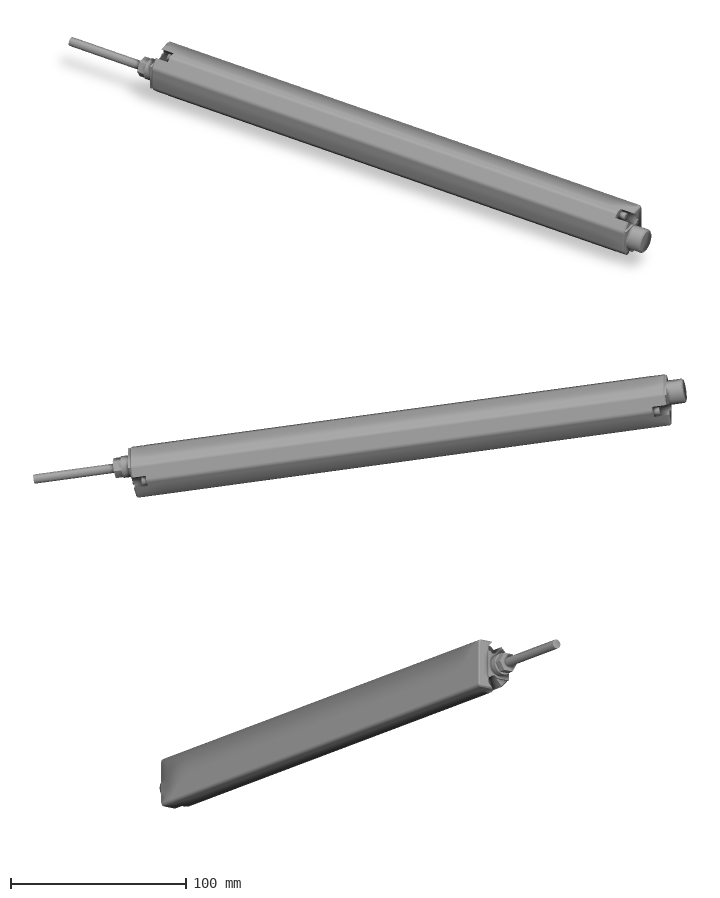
import cadquery as cq
import math

cable_length = 47.0
ring_start = 51.5
housing_start = 57.0
housing_end = 368.3
cap_length = 12.5
total_length = 378.5
pad_thickness = 1.0

height = 28.0
depth = 21.0
axis_to_front = 7.5
bevel = 7.0
bevel_blend = 3.0
rear_round = 2.0

pad_height = 15.5
pad_depth = 14.5
end_chamfer = 0.8
slot_length = 8.5
slot_radius = 3.0
slot_to_front = 11.5
slot_drop = 4.5
screw_head_radius = 2.3
screw_head_length = 3.5
connector_diameter = 14.0
connector_chamfer = 0.8

cable_diameter = 5.3
nut_flats = 10.2
ring_diameter = 12.5

front_y = -axis_to_front
rear_y = front_y + depth
half_height = height / 2
slot_y = front_y + slot_to_front
slot_z = half_height - slot_drop
pad_start = housing_start - pad_thickness
pad_end = housing_end + pad_thickness


def section_at(x):
    """Workplane across the length, with local axes along Y and Z."""
    return cq.Workplane("YZ", origin=(x, 0, 0))


def round_bar(x_start, x_end, diameter):
    return section_at(x_start).circle(diameter / 2).extrude(x_end - x_start)


def profile_bar(x_start, x_end):
    """Length of the housing section: two bevelled front edges, two rounded rear edges."""
    outline = [
        (rear_y, -half_height),
        (rear_y, half_height),
        (front_y + bevel, half_height),
        (front_y, half_height - bevel),
        (front_y, bevel - half_height),
        (front_y + bevel, -half_height),
    ]
    bar = section_at(x_start).polyline(outline).close().extrude(x_end - x_start)
    bar = bar.edges("|X and (not >Y)").fillet(bevel_blend)
    return bar.faces(">Y").edges("|X").fillet(rear_round)


def end_pad(x_start):
    """Raised pad on an end face, reaching the chamfer along its front edge."""
    return (
        section_at(x_start)
        .center(front_y + end_chamfer + pad_depth / 2, 0)
        .rect(pad_depth, pad_height)
        .extrude(pad_thickness)
    )


def screw_slots(x_start, x_end):
    """Upper and lower slot: round around the screw axis, running out square to the bevel."""
    reach = half_height
    upper = (
        section_at(x_start)
        .center(slot_y, slot_z)
        .transformed(rotate=(0, 0, 45))
        .moveTo(slot_radius, 0)
        .lineTo(slot_radius, reach)
        .lineTo(-slot_radius, reach)
        .lineTo(-slot_radius, 0)
        .threePointArc((0, -slot_radius), (slot_radius, 0))
        .close()
        .extrude(x_end - x_start)
    )
    return upper.union(upper.mirror("XY"))


def screw_heads(x_start):
    """Upper and lower screw head at the closed end of the slots."""
    axes = [(slot_y, slot_z), (slot_y, -slot_z)]
    return section_at(x_start).pushPoints(axes).circle(screw_head_radius).extrude(screw_head_length)


def gland():
    """Hexagonal nut with two corners along Y, and the clamping ring behind it."""
    nut_corners = nut_flats / math.cos(math.pi / 6)
    nut = section_at(cable_length).polygon(6, nut_corners).extrude(ring_start - cable_length)
    ring = round_bar(ring_start, pad_start, ring_diameter)
    return nut.union(ring)


def connector():
    plug = round_bar(pad_end, total_length, connector_diameter)
    return plug.faces(">X").chamfer(connector_chamfer)


def make_housing():
    """Lamp housing: profile with a flush cap at each end, gland and connector."""
    left_seam = housing_start + cap_length
    right_seam = housing_end - cap_length
    left_cap = profile_bar(housing_start, left_seam).faces("<X").chamfer(end_chamfer)
    right_cap = profile_bar(right_seam, housing_end).faces(">X").chamfer(end_chamfer)
    left_floor = housing_start + slot_length
    right_floor = housing_end - slot_length

    left_cap = (
        left_cap.union(end_pad(pad_start))
        .cut(screw_slots(pad_start, left_floor))
        .union(screw_heads(left_floor - screw_head_length))
        .union(gland())
    )
    right_cap = (
        right_cap.union(end_pad(housing_end))
        .cut(screw_slots(right_floor, pad_end))
        .union(screw_heads(right_floor))
        .union(connector())
    )
    profile = profile_bar(left_seam, right_seam)
    return profile.union(left_cap, clean=False).union(right_cap, clean=False).solids()


def make_cable():
    return round_bar(0, cable_length, cable_diameter)


housing = make_housing()
cable = make_cable()

result = cq.Compound.makeCompound([housing.val(), cable.val()])